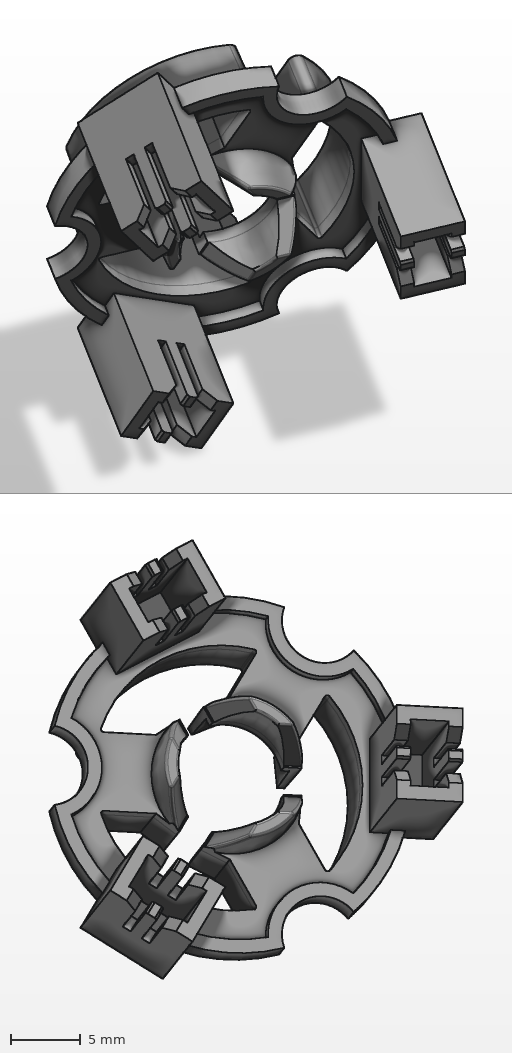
import cadquery as cq
import math

overall_height = 29.83
angles = (0, 120, 240)
sixty = math.radians(60)
wall = 1.0

ring_radius = 13.25
ring_thickness = 1.97
bore_radius = 4.2
notch_radius = 2.98
notch_centre = 13.45

tab_length = 10.62
tab_outer = 15.2
tab_inner = 10.38
tab_half_width = (overall_height / 2 - tab_outer * math.sin(sixty)) / math.cos(sixty)
slot_start = 5.22
slot_inner_edge = 0.48
slot_outer_edge = 1.13
mouth_start = 9.65
mouth_half_width = 2.1
finger_chamfer = 0.18

tube_length = 4.77
tube_wall = 0.55
tube_radius = 10.55
spoke_half_width = 2.2
lip_distance = 4.75
lip_tilt = math.radians(5.6)
bore_fillet = 0.2
tube_fillet = 0.7
draft = 0.1

gap_half_width = 1.0
gap_end = 5.97

snap_end = 4.5
snap_base_radius = 5.65
snap_tip_radius = 5.35
snap_tip_bore = 4.33
flank_angle = math.radians(31)
flank_start = 0.8
snap_round = 0.2


def around(shape, angle):
    """Turn a shape about the ring axis."""
    return shape.rotate((0, 0, 0), (1, 0, 0), angle)


def box(x_range, y_range, z_range):
    """Axis-aligned block from three (low, high) pairs."""
    size = [high - low for low, high in (x_range, y_range, z_range)]
    return cq.Workplane("XY").box(*size, centered=False).translate((x_range[0], y_range[0], z_range[0]))


def opening_outline(x, inset, fillet):
    """Fan-shaped wire at height x about +Y, moved inwards by inset from the outside of the tube."""
    radius = tube_radius - inset
    side = spoke_half_width + inset
    lip = lip_distance + inset
    cos60, sin60 = math.cos(sixty), math.sin(sixty)

    reach = math.sqrt(radius**2 - side**2)
    corner = (reach * cos60 + side * sin60, reach * sin60 - side * cos60)
    along = (lip - side * math.sin(sixty - lip_tilt)) / math.cos(sixty - lip_tilt)
    bend = (along * cos60 + side * sin60, along * sin60 - side * cos60)

    wire = (
        cq.Workplane("YZ", origin=(x, 0, 0))
        .moveTo(lip / math.cos(lip_tilt), 0)
        .lineTo(*bend)
        .lineTo(*corner)
        .threePointArc((radius, 0), (corner[0], -corner[1]))
        .lineTo(bend[0], -bend[1])
        .close()
        .val()
    )
    outermost = max(vertex.Z for vertex in wire.Vertices())
    tolerance = 0.003
    corners = [vertex for vertex in wire.Vertices() if abs(vertex.Z) > outermost - tolerance]
    return wire.fillet2D(fillet, corners)


def opening_solid(x_start, inset_start, x_end, inset_end, fillet):
    """Drafted fan-shaped solid between two outlines."""
    start = opening_outline(x_start, inset_start, fillet)
    end = opening_outline(x_end, inset_end, fillet)
    return cq.Workplane(cq.Solid.makeLoft([start, end], True))


def tab():
    """Hollow clip tab on the +Y side with two slots and a flared mouth."""
    body = box((0, tab_length), (tab_inner, tab_outer), (-tab_half_width, tab_half_width))
    for side in (1, -1):
        profile = [
            (slot_start, slot_inner_edge),
            (tab_length - finger_chamfer, slot_inner_edge),
            (tab_length, slot_inner_edge - finger_chamfer),
            (tab_length, mouth_half_width),
            (mouth_start, slot_outer_edge),
            (slot_start, slot_outer_edge),
        ]
        points = [(x, side * z) for x, z in profile]
        outer_face = cq.Workplane("XZ", origin=(0, tab_outer, 0))
        slot = outer_face.polyline(points).close().extrude(tab_outer - tab_inner)
        body = body.cut(slot)
    return body


def snap_ring():
    """Tapered collar around the bore, split by the spreading gaps into three lips."""
    profile = [
        (wall, bore_radius),
        (wall, snap_base_radius),
        (snap_end, snap_tip_radius),
        (snap_end, snap_tip_bore),
    ]
    ring = cq.Workplane("XY").polyline(profile).close().revolve(360, (0, 0, 0), (1, 0, 0))
    flank_half_end = gap_half_width + (snap_end - flank_start) * math.tan(flank_angle)
    flanks = [
        (flank_start, -gap_half_width),
        (flank_start, gap_half_width),
        (snap_end, flank_half_end),
        (snap_end, -flank_half_end),
    ]
    wedge = cq.Workplane("XZ").polyline(flanks).close().extrude(-gap_end)
    for angle in angles:
        ring = ring.cut(around(wedge, angle))
    tip_edges = ring.faces(">X").edges()
    middle_radius = (bore_radius + snap_tip_radius) / 2
    flank_edges = ring.faces("%CONE").edges().filter(
        lambda edge: edge.BoundingBox().xlen > snap_round
        and math.hypot(edge.Center().y, edge.Center().z) > middle_radius
    )
    return ring.newObject(tip_edges.vals() + flank_edges.vals()).fillet(snap_round)


ring = cq.Workplane("YZ").circle(ring_radius).extrude(ring_thickness)
recess = cq.Workplane("YZ", origin=(wall, 0, 0)).circle(ring_radius - wall).extrude(ring_thickness - wall)
notch_rim = cq.Workplane("YZ").center(-notch_centre, 0).circle(notch_radius + wall).extrude(ring_thickness)
for angle in angles:
    recess = recess.cut(around(notch_rim, angle))
bore = cq.Workplane("YZ").circle(bore_radius).extrude(wall)
result = ring.cut(recess).cut(bore).union(snap_ring())

tube = opening_solid(0, 0, -tube_length, draft, tube_fillet)
for angle in angles:
    result = result.union(around(tube, angle)).union(around(tab(), angle))

notch = cq.Workplane("YZ").center(-notch_centre, 0).circle(notch_radius).extrude(ring_thickness)
cavity_half = tab_half_width - wall
tab_cavity = box((wall, tab_length), (tab_inner + wall, tab_outer - wall), (-cavity_half, cavity_half))
bore_inset = tube_wall + draft
web_inset = bore_inset + draft
tube_bore = opening_solid(0, web_inset, -tube_length, bore_inset, bore_fillet)
web_opening = opening_solid(0, web_inset, snap_end, web_inset, bore_fillet)
gap = box((-tube_length, ring_thickness), (0, gap_end), (-gap_half_width, gap_half_width))
for angle in angles:
    for cutter in (notch, tab_cavity, tube_bore, web_opening, gap):
        result = result.cut(around(cutter, angle))